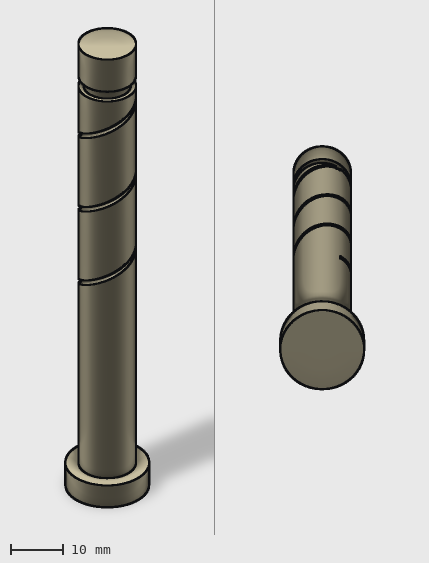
import cadquery as cq

total_length = 100.0
flange_diameter = 16.0
flange_thickness = 5.0
shaft_diameter = 11.0

neck_diameter = 9.0
neck_width = 2.2
tip_length = 7.3

groove_radius = 0.5
groove_turns = 3
groove_length = 50.0

shaft_radius = shaft_diameter / 2
neck_bottom = total_length - tip_length - neck_width
groove_bottom = neck_bottom - groove_length
groove_pitch = groove_length / groove_turns

def cylinder(diameter, bottom, height):
    """Upright cylinder on the Z axis."""
    return cq.Workplane("XY").workplane(offset=bottom).circle(diameter / 2).extrude(height)

def make_pin():
    """Flange, shaft, neck and tip stacked on one axis."""
    flange = cylinder(flange_diameter, 0, flange_thickness)
    shaft = cylinder(shaft_diameter, flange_thickness, neck_bottom - flange_thickness)
    neck = cylinder(neck_diameter, neck_bottom, neck_width)
    tip = cylinder(shaft_diameter, neck_bottom + neck_width, tip_length)
    return flange.union(shaft).union(neck).union(tip)

def make_groove_cutter():
    """Round bar wound along the shaft surface."""
    helix = cq.Wire.makeHelix(groove_pitch, groove_length, shaft_radius)
    bar = cq.Workplane("XZ").center(shaft_radius, 0).circle(groove_radius).sweep(
        cq.Workplane(obj=helix), isFrenet=True
    )
    return bar.rotate((0, 0, 0), (0, 0, 1), 90).translate((0, 0, groove_bottom))

result = make_pin().cut(make_groove_cutter())